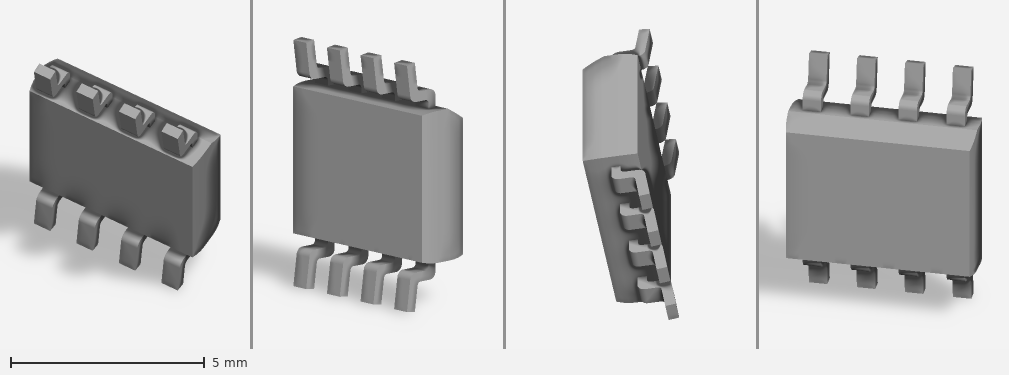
import cadquery as cq
import math


body_width = 5.0
body_height = 4.015
front_depth = 0.5
band_depth = 0.435
back_depth = 0.94
crown_drop = 0.065
bevel_depth = 0.57
bevel_angle = 30.0

overall_height = 6.58
leads_per_row = 4
lead_pitch = 1.27
lead_width = 0.49
root_thickness = 0.245
shelf_thickness = 0.26
foot_thickness = 0.28
shelf_start = 2.25
tip_reach = 0.76
foot_angle = 8.0
inner_bend_radius = 0.105
outer_bend_radius = 0.2
lead_embed = 0.33


def crown_mid(half_size, start, end):
    """Middle point of the arc that leaves the straight band tangentially at start."""
    depth = end - start
    radius = (depth**2 + crown_drop**2) / (2 * crown_drop)
    half_sweep = math.asin(abs(depth) / radius) / 2
    along = math.copysign(radius * math.sin(half_sweep), depth)
    return (half_size - radius * (1 - math.cos(half_sweep)), start + along)


def crowned_section(plane, half_size):
    """Closed body section: straight bands at the sides, arcs drawing in to both faces."""
    face_half = half_size - crown_drop
    front_mid = crown_mid(half_size, 0, -front_depth)
    back_mid = crown_mid(half_size, band_depth, back_depth)
    return (
        cq.Workplane(plane)
        .moveTo(-face_half, -front_depth)
        .lineTo(face_half, -front_depth)
        .threePointArc(front_mid, (half_size, 0))
        .lineTo(half_size, band_depth)
        .threePointArc(back_mid, (face_half, back_depth))
        .lineTo(-face_half, back_depth)
        .threePointArc((-back_mid[0], back_mid[1]), (-half_size, band_depth))
        .lineTo(-half_size, 0)
        .threePointArc((-front_mid[0], front_mid[1]), (-face_half, -front_depth))
        .close()
    )


def make_body():
    side_plane = cq.Plane(origin=(0, 0, 0), xDir=(0, 0, 1), normal=(-1, 0, 0))
    side_solid = crowned_section(side_plane, body_height / 2).extrude(body_width, both=True)
    plan_solid = crowned_section("XY", body_width / 2).extrude(body_height, both=True)
    top = body_height / 2
    bevel_drop = bevel_depth * math.tan(math.radians(bevel_angle))
    bevel = (
        cq.Workplane("YZ")
        .polyline([
            (back_depth - bevel_depth, top),
            (back_depth, top - bevel_drop),
            (back_depth, top),
        ])
        .close()
        .extrude(body_width, both=True)
    )
    return plan_solid.intersect(side_solid).cut(bevel)


def make_lead():
    """Upper lead centred on X = 0: out of the body, forward along the shelf, then up the foot."""
    tilt = math.radians(foot_angle)
    shelf_end = shelf_start + shelf_thickness
    tip_back_z = overall_height / 2
    tip_back_y = foot_thickness * math.cos(tilt) - tip_reach
    tip_front_z = tip_back_z - foot_thickness * math.sin(tilt)
    foot_front_y = (tip_front_z - shelf_start) * math.tan(tilt) - tip_reach
    foot_back_y = tip_back_y + (tip_back_z - shelf_end) * math.tan(tilt)
    root_z = body_height / 2 - lead_embed
    strip = (
        cq.Workplane("YZ")
        .polyline([
            (root_thickness, root_z),
            (root_thickness, shelf_end),
            (foot_back_y, shelf_end),
            (tip_back_y, tip_back_z),
            (-tip_reach, tip_front_z),
            (foot_front_y, shelf_start),
            (0, shelf_start),
            (0, root_z),
        ])
        .close()
        .extrude(lead_width / 2, both=True)
    )

    def bend(solid, y, z, radius):
        return solid.edges(cq.selectors.NearestToPointSelector((0, y, z))).fillet(radius)

    strip = bend(strip, root_thickness, shelf_end, outer_bend_radius)
    strip = bend(strip, foot_front_y, shelf_start, outer_bend_radius)
    strip = bend(strip, foot_back_y, shelf_end, inner_bend_radius)
    return bend(strip, 0, shelf_start, inner_bend_radius)


result = make_body()
upper_lead = make_lead()
lower_lead = upper_lead.mirror("XY")
for index in range(leads_per_row):
    lead_x = (index - (leads_per_row - 1) / 2) * lead_pitch
    result = result.union(upper_lead.translate((lead_x, 0, 0)))
    result = result.union(lower_lead.translate((lead_x, 0, 0)))